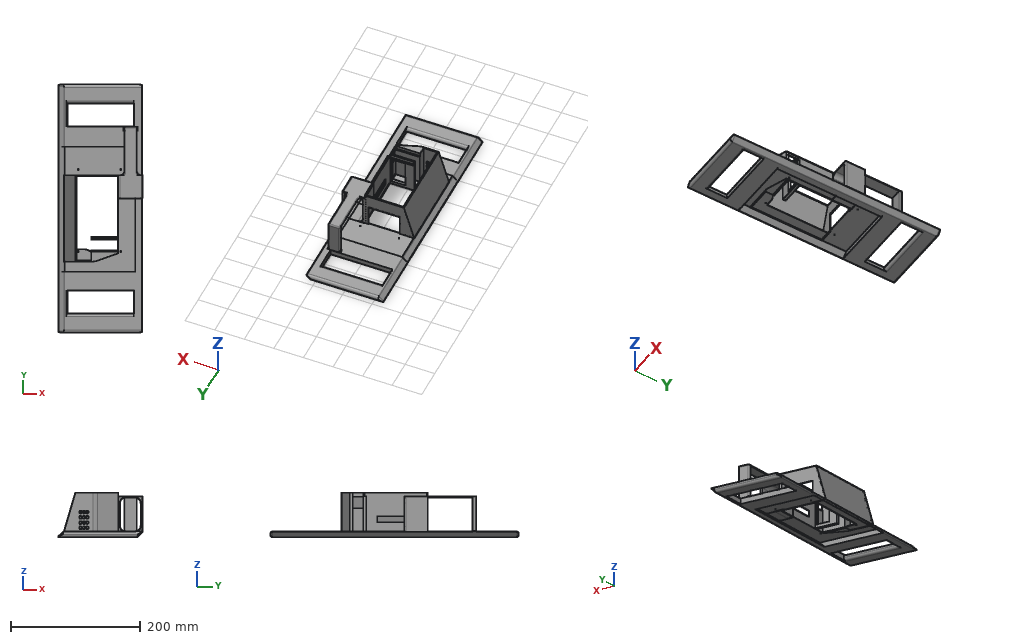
import cadquery as cq
import math

total_x = 130.57
total_y = 384.97
total_z = 69.2

plate_h = 9.4
plate_x1 = 129.8
left_run = 10.2
right_run = plate_h
edge_r = 1.0
end_flat = 0.2
end_r = (plate_h - end_flat) / 2
plan_corner_r = 3.5
left_overhang = edge_r * (1 / math.tan(math.atan2(plate_h, left_run) / 2) - 1)
right_overhang = edge_r * (1 / math.tan(math.atan2(plate_h, right_run) / 2) - 1)

window_x0 = 12.5
window_x1 = 117.1
window_draft = 1.8
window_y0 = 127.2
bar_width = 30.0

recess_x0 = 10.0
recess_x1 = 119.0
recess_y0 = -98.0
recess_y1 = 95.5
skin = 0.8

wall = 2.0
right_wall = 1.2
hood_x1 = 92.8
hood_top_x0 = 26.2
hood_y0 = -82.1
hood_y1 = 51.6
hood_bend_x = 56.8
hood_bend_r = 20.0
hood_corner_y = -69.3
hood_x0 = left_run - left_overhang
hood_inner_x0 = hood_top_x0 + wall
hood_inner_x1 = hood_x1 - right_wall

floor_y = -62.8
floor_bend_x = 38.8

vent_d = 3.8
vent_pitch_x = 5.1
vent_pitch_z = 8.15
vent_columns = 3
vent_rows = 4
vent_x0 = 34.5
vent_z0 = 14.7

back_opening_x0 = 33.5
back_opening_x1 = 86.4
back_opening_z1 = 45.5
side_opening_y0 = -27.0
side_opening_y1 = 15.0
side_opening_z0 = 23.0
side_opening_z1 = 33.0
port_z0 = 45.0
port_z1 = 62.8

panel_x0 = 51.0
panel_back_y = -43.5
panel_step_y = -46.3
panel_front_y = -48.7
panel_top = 63.7
frame_slot_x0 = 52.5
frame_slot_x1 = 53.7
frame_slot_z0 = 45.0
frame_opening_x0 = 65.8
frame_opening_x1 = 89.0
frame_opening_z0 = 15.0
divider_back_y = -64.6
divider_front_y = -67.2

bracket_top = 64.0
bracket_t = 2.6
bracket_edge_r = 1.9
leg_inner_r = 1.0
tunnel_y0 = 15.3
tunnel_y1 = 51.6
tunnel_inner_x0 = 95.6
tunnel_inner_x1 = 127.2
tunnel_inner_r = 8.0
arm_x0 = 102.0
arm_x1 = 121.6
arm_root_r = 6.0
leg_y0 = 120.4
leg_y1 = 126.7
foot_size = 1.2
foot_chamfer = 0.99 * foot_size

pilot_d = 1.2
pilot_xs = (30.6, 96.5)
pilot_ys = (-66.7, 60.3)


def block(x0, x1, y0, y1, z0, z1):
    """Box given by its limits along each axis."""
    return cq.Workplane("XY").box(x1 - x0, y1 - y0, z1 - z0, centered=False).translate((x0, y0, z0))


def extrude_along_y(profile, y0, y1):
    """Extrude an XZ profile drawn at y = 0 so that it spans y0 to y1."""
    return profile.extrude(y0 - y1).translate((0, y0, 0))


def rounded_rectangle(x0, x1):
    """Plan outline of the plate between two long sides, with rounded corners."""
    outline = cq.Sketch().push([((x0 + x1) / 2, 0)]).rect(x1 - x0, total_y)
    return outline.reset().vertices().fillet(plan_corner_r)


def make_plate():
    bottom_x0 = -left_overhang
    top_x0 = bottom_x0 + left_run
    top_x1 = plate_x1 + right_overhang
    bottom_x1 = top_x1 - right_run
    slanted = cq.Workplane("XZ").polyline([
        (bottom_x0, 0),
        (bottom_x1, 0),
        (top_x1, plate_h),
        (top_x0, plate_h),
    ]).close()
    body = extrude_along_y(slanted, -total_y / 2, total_y / 2).edges("|Y").fillet(edge_r)
    ends = block(bottom_x0, top_x1, -total_y / 2, total_y / 2, 0, plate_h)
    ends = ends.edges("|X").fillet(end_r)
    corners = (
        cq.Workplane("XY")
        .placeSketch(
            rounded_rectangle(bottom_x0, bottom_x1),
            rounded_rectangle(top_x0, top_x1).moved(cq.Location(cq.Vector(0, 0, plate_h))),
        )
        .loft()
    )
    return body.intersect(ends).intersect(corners)


def grip_window():
    bar_inner_y = total_y / 2 - bar_width
    bar_flat_y = bar_inner_y + end_r
    profile = (
        cq.Workplane("YZ")
        .moveTo(window_y0, 0)
        .lineTo(window_y0, plate_h)
        .lineTo(bar_flat_y, plate_h)
        .radiusArc((bar_inner_y, plate_h - end_r), -end_r)
        .lineTo(bar_inner_y, end_r)
        .radiusArc((bar_flat_y, 0), -end_r)
        .close()
        .extrude(total_x)
    )
    drafted = cq.Workplane("XZ").polyline([
        (window_x0 + window_draft, 0),
        (window_x1, 0),
        (window_x1, plate_h),
        (window_x0, plate_h),
    ]).close()
    return profile.intersect(extrude_along_y(drafted, window_y0, bar_flat_y))


def plate_recess():
    depth = plate_h - skin
    section = cq.Workplane("XZ").polyline([
        (recess_x0 - depth, 0),
        (recess_x1 - depth, 0),
        (recess_x1, depth),
        (recess_x0, depth),
    ]).close()
    return extrude_along_y(section, recess_y0, recess_y1)


def hood_body(inset):
    """Solid hood above the plate, drawn in by the wall thickness on every side."""
    plan = (
        cq.Workplane("XY", origin=(0, 0, plate_h))
        .polyline([
            (0, hood_y0),
            (hood_bend_x, hood_y0),
            (hood_x1, hood_corner_y),
            (hood_x1, hood_y1),
            (0, hood_y1),
        ])
        .close()
    )
    if inset:
        plan = plan.offset2D(-inset)
    body = plan.extrude(total_z - plate_h)
    bend = cq.selectors.NearestToPointSelector((hood_bend_x, hood_y0 + inset, (total_z + plate_h) / 2))
    body = body.edges("|Z").edges(bend).fillet(hood_bend_r - inset)
    side = cq.Workplane("XZ").polyline([
        (hood_x0 + inset, plate_h),
        (total_x, plate_h),
        (total_x, total_z),
        (hood_top_x0 + inset, total_z),
    ]).close()
    return body.intersect(extrude_along_y(side, hood_y0, hood_y1))


def plate_opening():
    """Opening under the hood; its front edge is the curved edge of the remaining floor."""
    drop = floor_y - divider_front_y
    run = panel_x0 - floor_bend_x
    curve_r = (run ** 2 + drop ** 2) / (2 * drop)
    half_angle = math.atan2(drop, run)
    middle = (
        floor_bend_x + curve_r * math.sin(half_angle),
        floor_y - curve_r * (1 - math.cos(half_angle)),
    )
    return (
        cq.Workplane("XY")
        .moveTo(hood_inner_x0, hood_y1 - wall)
        .lineTo(hood_inner_x0, floor_y)
        .lineTo(floor_bend_x, floor_y)
        .threePointArc(middle, (panel_x0, divider_front_y))
        .lineTo(hood_inner_x1, divider_front_y)
        .lineTo(hood_inner_x1, hood_y1 - wall)
        .close()
        .extrude(plate_h)
    )


def vents():
    centres = [
        (vent_x0 + column * vent_pitch_x, vent_z0 + row * vent_pitch_z)
        for column in range(vent_columns)
        for row in range(vent_rows)
    ]
    profile = cq.Workplane("XZ").pushPoints(centres).circle(vent_d / 2)
    return extrude_along_y(profile, hood_y0, hood_y0 + wall)


def hood_openings():
    back = block(back_opening_x0, back_opening_x1, hood_y1 - wall, hood_y1, plate_h, back_opening_z1)
    side = block(hood_inner_x1, hood_x1, side_opening_y0, side_opening_y1, side_opening_z0, side_opening_z1)
    port = block(hood_inner_x1, hood_x1, divider_back_y, panel_front_y, port_z0, port_z1)
    return back.union(side).union(port)


def make_compartment():
    panel = block(panel_x0, hood_x1, panel_step_y, panel_back_y, plate_h, panel_top)
    frame = block(panel_x0, hood_x1, panel_front_y, panel_step_y, plate_h, total_z)
    frame_opening = block(
        frame_opening_x0, frame_opening_x1, panel_front_y, panel_back_y, frame_opening_z0, port_z1
    )
    frame_slot = block(
        frame_slot_x0, frame_slot_x1, panel_front_y, panel_step_y, frame_slot_z0, panel_top
    )
    divider = block(panel_x0, hood_x1, divider_front_y, divider_back_y, plate_h, panel_top)
    corner_block = block(panel_x0, hood_x1, hood_y0, divider_front_y, plate_h, total_z)
    walls = panel.union(frame).cut(frame_opening).cut(frame_slot).union(divider).union(corner_block)
    return walls.intersect(hood_body(0))


def make_tunnel():
    tunnel = block(hood_x1, total_x, tunnel_y0, tunnel_y1, plate_h - edge_r, bracket_top)
    return tunnel.edges("(|Y and >Z) or (<Y and (not <Z))").fillet(bracket_edge_r)


def tunnel_opening():
    opening = block(
        tunnel_inner_x0, tunnel_inner_x1, tunnel_y0, tunnel_y1, plate_h, bracket_top - bracket_t
    )
    return opening.edges("|Y").fillet(tunnel_inner_r)


def make_arm():
    """Arm that widens into the tunnel roof through round roots, with the leg at its far end."""
    arm = (
        cq.Workplane("XY", origin=(0, 0, bracket_top - bracket_t))
        .moveTo(arm_x0 - arm_root_r, tunnel_y0 + bracket_edge_r)
        .lineTo(arm_x0 - arm_root_r, tunnel_y1)
        .radiusArc((arm_x0, tunnel_y1 + arm_root_r), -arm_root_r)
        .lineTo(arm_x0, leg_y1)
        .lineTo(arm_x1, leg_y1)
        .lineTo(arm_x1, tunnel_y1 + arm_root_r)
        .radiusArc((arm_x1 + arm_root_r, tunnel_y1), -arm_root_r)
        .lineTo(arm_x1 + arm_root_r, tunnel_y0 + bracket_edge_r)
        .close()
        .extrude(bracket_t)
    )
    leg = block(arm_x0, arm_x1, leg_y0, leg_y1, plate_h, bracket_top)
    hook = arm.union(leg.edges("|Z and <Y").fillet(leg_inner_r))
    beyond_tunnel = cq.selectors.BoxSelector(
        (0, tunnel_y1, bracket_top - edge_r), (total_x, total_y, bracket_top + edge_r)
    )
    rounded = hook.edges(beyond_tunnel).edges("not <Y").add(hook.edges("|Z and >Y"))
    return rounded.fillet(bracket_edge_r)


def make_foot():
    """Flared foot of the leg, flush with its outer face."""
    foot = block(arm_x0 - foot_size, arm_x1 + foot_size, leg_y0, leg_y1, plate_h, plate_h + foot_size)
    return foot.edges("|Y and >Z").chamfer(foot_chamfer)


plate = make_plate()
plate = plate.cut(grip_window()).cut(grip_window().mirror("XZ")).cut(plate_recess())

thinned_side = block(
    hood_x1 - wall, hood_inner_x1, divider_back_y, hood_y1 - wall, plate_h, total_z
)
hood = hood_body(0).cut(hood_body(wall)).cut(thinned_side)

result = plate.union(hood).union(make_tunnel()).cut(tunnel_opening())
result = result.cut(plate_opening()).cut(vents()).cut(hood_openings())
result = result.union(make_compartment()).union(make_arm()).union(make_foot())

pilots = cq.Workplane("XY").pushPoints([(x, y) for x in pilot_xs for y in pilot_ys])
result = result.cut(pilots.circle(pilot_d / 2).extrude(plate_h))